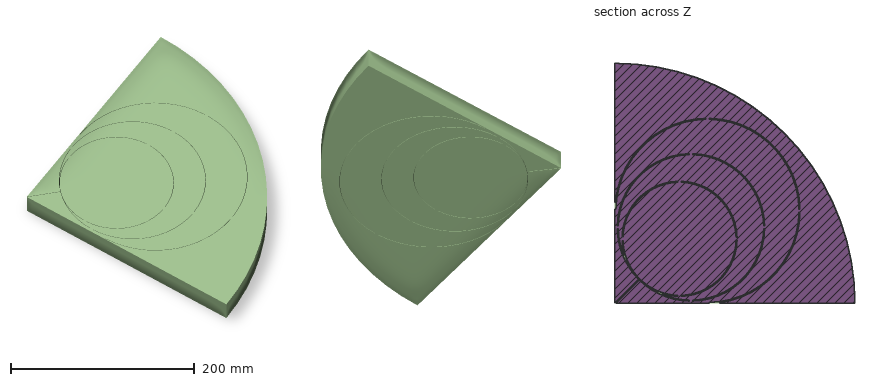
import cadquery as cq
import math

plate_radius = 262.0
plate_thickness = 25.0

slit_width = 0.5
bridge_width = 4.0
small_disc_radius = 61.9
medium_disc_radius = 79.5
large_disc_radius = 100.0

tangent_distance = 37.9

side_clearance = 0.5
large_disc_offset = large_disc_radius + slit_width + side_clearance


def quarter_plate():
    arc_middle = plate_radius * math.cos(math.radians(45))
    return (
        cq.Workplane("XY")
        .lineTo(plate_radius, 0)
        .threePointArc((arc_middle, arc_middle), (0, plate_radius))
        .close()
        .extrude(plate_thickness)
    )


def tangent_disc_offset(disc_radius):
    """X and Y of the centre of a disc whose rim passes through the tangent point."""
    return (tangent_distance + disc_radius) * math.cos(math.radians(45))


def ring_slit(disc_radius, offset):
    """Ring-shaped cutter around a disc, interrupted at its four quadrant points."""
    outer_radius = disc_radius + slit_width
    ring = (
        cq.Workplane("XY")
        .center(offset, offset)
        .circle(outer_radius)
        .circle(disc_radius)
        .extrude(plate_thickness)
    )
    bridge_length = 2 * outer_radius
    bridges = (
        cq.Workplane("XY")
        .center(offset, offset)
        .rect(bridge_length, bridge_width)
        .extrude(plate_thickness)
    )
    cross_bridges = (
        cq.Workplane("XY")
        .center(offset, offset)
        .rect(bridge_width, bridge_length)
        .extrude(plate_thickness)
    )
    return ring.cut(bridges).cut(cross_bridges)


def large_ring_slit():
    """Cutter around the large disc, without the quadrant that faces the square corner."""
    corner_block = (
        cq.Workplane("XY")
        .rect(large_disc_offset, large_disc_offset, centered=False)
        .extrude(plate_thickness)
    )
    return ring_slit(large_disc_radius, large_disc_offset).cut(corner_block)


def corner_slit():
    """Cutter along the diagonal, from the square corner to the tangent point."""
    return (
        cq.Workplane("XY")
        .center(tangent_distance / 2, 0)
        .rect(tangent_distance, slit_width)
        .extrude(plate_thickness)
        .rotate((0, 0, 0), (0, 0, 1), 45)
    )


result = quarter_plate()
for radius in (small_disc_radius, medium_disc_radius):
    result = result.cut(ring_slit(radius, tangent_disc_offset(radius)))
result = result.cut(large_ring_slit()).cut(corner_slit())